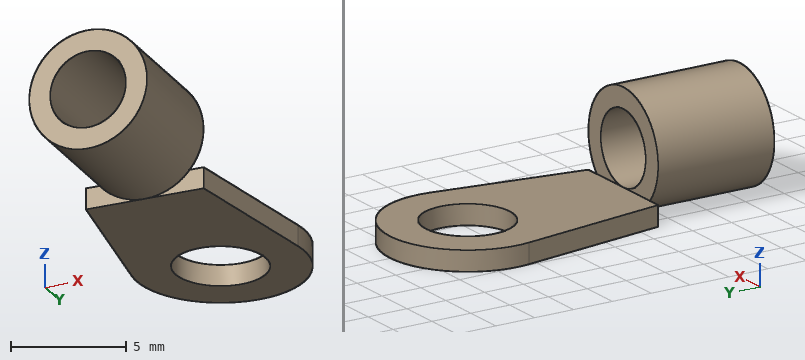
import cadquery as cq
import math

total_length = 18.0
barrel_diameter = 5.6
bore_diameter = 3.6
barrel_length = 6.0
ring_diameter = 8.0
stud_hole_diameter = 4.3

barrel_radius = barrel_diameter / 2
ring_radius = ring_diameter / 2
tongue_thickness = (barrel_diameter - bore_diameter) / 2
ring_center_y = total_length - ring_radius


def make_barrel():
    """Tube resting on Z = 0, running from Y = 0 to the tongue."""
    return (
        cq.Workplane("XZ", origin=(0, 0, barrel_radius))
        .circle(barrel_radius)
        .circle(bore_diameter / 2)
        .extrude(-barrel_length)
    )


def make_tongue():
    """Flat plate whose sides run from the barrel width tangentially into the ring."""
    neck_length = ring_center_y - barrel_length
    corner_distance = math.hypot(barrel_radius, neck_length)
    corner_angle = math.atan2(neck_length, barrel_radius)
    tangent_angle = corner_angle - math.acos(ring_radius / corner_distance)
    tangent_x = ring_radius * math.cos(tangent_angle)
    tangent_y = ring_center_y - ring_radius * math.sin(tangent_angle)

    plate = (
        cq.Workplane("XY")
        .moveTo(-barrel_radius, barrel_length)
        .lineTo(barrel_radius, barrel_length)
        .lineTo(tangent_x, tangent_y)
        .threePointArc((0, total_length), (-tangent_x, tangent_y))
        .close()
        .extrude(tongue_thickness)
    )
    stud_hole = (
        cq.Workplane("XY")
        .center(0, ring_center_y)
        .circle(stud_hole_diameter / 2)
        .extrude(tongue_thickness)
    )
    return plate.cut(stud_hole)


result = make_barrel().union(make_tongue())